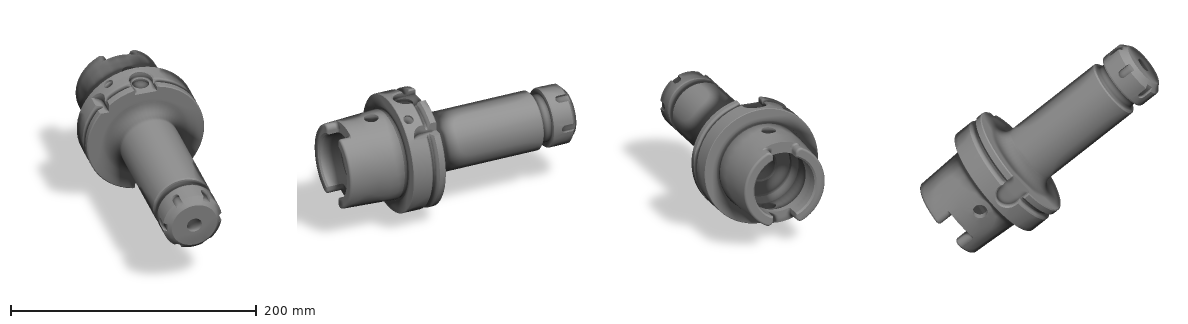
import cadquery as cq
import math

TOTAL_LENGTH = 210.0
FLANGE_START = 50.0
FLANGE_END = 79.0
SHAFT_END = 178.7
NUT_START = 187.5

TAPER_RADIUS = 35.5
TAPER_SLOPE = 0.05
TAPER_START = 2.0
TAPER_END = 47.5
TAPER_EDGE = 1.9
RELIEF_DEPTH = 0.6
FACE_RELIEF_RADIUS = 39.3
FACE_RELIEF_DEPTH = 0.5

BORE_RADIUS = 26.5
MOUTH_CHAMFER = 1.5
BORE_STRAIGHT_END = 20.0
CLAMP_RADIUS = 29.5
CLAMP_CONE_ANGLE = 60.0
CLAMP_END = 42.0
FLOOR_RADIUS = 25.0
BORE_FLOOR = 50.0

SEAT_CHAMFER_RADIUS = 27.0 / 2
SEAT_RADIUS = 24.5 / 2
SEAT_DEPTH = 12.5
LEDGE_RADIUS = 22.5 / 2
LEDGE_DEPTH = 19.0
AXIAL_HOLE_DIAMETER = 12.5

DRIVE_SLOT_WIDTH = 20.0
DRIVE_SLOT_LENGTHS = {1: 10.0, -1: 14.5}
DRIVE_SLOT_FLOOR_FILLET = 1.7
DRIVE_LAND_ROUND = 4.2

CROSS_HOLE_DIAMETER = 12.0
CROSS_HOLE_X = 34.9

FLANGE_RADIUS = 100.0 / 2
FLANGE_FRONT_CHAMFER = 0.5
FLANGE_BACK_CHAMFER = 0.8
GROOVE_START = 66.4
GROOVE_LIP = 1.0
GROOVE_END = 73.3
GROOVE_DEPTH = 4.0
GROOVE_FLANK_ANGLE = 30.0

CUTTER_RADIUS = 9.5
CUTTER_STOP_X = 64.7
KEYWAY_FLOOR = 43.9
KEYWAY_CHAMFER = 1.3
NOTCH_CORNER = 31.3
CHIP_HOLE_DIAMETER = 14.0
CHIP_HOLE_DEPTH = 2.5

SCREW_HOLE_DIAMETER = 8.5
SCREW_HOLE_X = 56.7
SCREW_HOLE_ANGLE = 30.0
SCREW_HOLE_DEPTH = 2.0
SCREW_TIP_DEPTH = 2.5

SHAFT_RADIUS = 50.0 / 2
SHAFT_FILLET = 10.0
SHAFT_CHAMFER = 1.0
NOSE_RADIUS = 40.1 / 2
NOSE_FILLET = 1.9
NOSE_END = 199.5

NUT_RADIUS = SHAFT_RADIUS
NUT_REAR_CHAMFER_LENGTH = 1.3
NUT_REAR_CHAMFER_DEPTH = 0.5
NUT_CONE_START = 204.5
NUT_CONE_END = 209.4
NUT_CONE_END_RADIUS = 40.0 / 2
NUT_FACE_RADIUS = 38.5 / 2
NUT_SLOT_COUNT = 6
NUT_SLOT_WIDTH = 6.7
NUT_SLOT_START = 194.5
NUT_SLOT_FLOOR = 22.0


def x_cylinder(start, end, radius):
    """Solid cylinder on the X axis between two stations."""
    return cq.Workplane("YZ").workplane(offset=start).circle(radius).extrude(end - start)


def revolve_about_x(outline):
    """Turn a closed (x, radius) wire into a solid of revolution about the X axis."""
    return outline.close().revolve(360, (0, 0, 0), (1, 0, 0))


def drive_slot_cutter(side, length):
    """Drive slot on the +Z or -Z side whose walls roll over into the taper surface."""
    half_width = DRIVE_SLOT_WIDTH / 2
    arc_center_y = half_width + DRIVE_LAND_ROUND
    arc_center_reach = TAPER_RADIUS - DRIVE_LAND_ROUND
    tilt = math.asin(arc_center_y / arc_center_reach)
    arc_center_z = arc_center_reach * math.cos(tilt)
    mid_angle = (tilt - math.pi / 2) / 2
    arc_mid = (
        arc_center_y + DRIVE_LAND_ROUND * math.sin(mid_angle),
        arc_center_z + DRIVE_LAND_ROUND * math.cos(mid_angle),
    )
    arc_end = (TAPER_RADIUS * math.sin(tilt), TAPER_RADIUS * math.cos(tilt))
    half_profile = (
        cq.Workplane("YZ")
        .lineTo(half_width, 0)
        .lineTo(half_width, arc_center_z)
        .threePointArc(arc_mid, arc_end)
        .lineTo(arc_end[0], FLANGE_RADIUS)
        .lineTo(0, FLANGE_RADIUS)
        .close()
    )
    half = half_profile.extrude(length)
    cutter = half.union(half.mirror("XZ")).clean()
    walls = cq.selectors.BoxSelector(
        (length - 0.2, -arc_end[0] - 0.2, 0.2),
        (length + 0.2, arc_end[0] + 0.2, FLANGE_RADIUS - 0.2),
    )
    cutter = cutter.edges(walls).fillet(DRIVE_SLOT_FLOOR_FILLET)
    return cutter if side > 0 else cutter.rotate((0, 0, 0), (1, 0, 0), 180)


def taper_shank():
    """Tapered shank with its two drive slots and their rounded lands."""
    end_radius = TAPER_RADIUS + TAPER_SLOPE * (TAPER_END - TAPER_START)
    relief_radius = end_radius - RELIEF_DEPTH
    shank_root = FLANGE_START + FACE_RELIEF_DEPTH
    shank = revolve_about_x(
        cq.Workplane("XY")
        .moveTo(0, 0)
        .lineTo(0, TAPER_RADIUS)
        .lineTo(TAPER_START, TAPER_RADIUS)
        .lineTo(TAPER_END, end_radius)
        .lineTo(TAPER_END + RELIEF_DEPTH, relief_radius)
        .lineTo(shank_root, relief_radius)
        .lineTo(shank_root, 0)
    )
    for side, length in DRIVE_SLOT_LENGTHS.items():
        shank = shank.cut(drive_slot_cutter(side, length))
    return shank.faces("<X").edges().fillet(TAPER_EDGE)


def shank_bore():
    """Clamping bore, coolant tube seat and axial hole, as one cutting tool."""
    clamp_start = BORE_STRAIGHT_END + (CLAMP_RADIUS - BORE_RADIUS) / math.tan(
        math.radians(CLAMP_CONE_ANGLE)
    )
    clamp_exit = CLAMP_END + CLAMP_RADIUS - FLOOR_RADIUS
    seat_chamfer = SEAT_CHAMFER_RADIUS - SEAT_RADIUS
    seat_end = BORE_FLOOR + SEAT_DEPTH
    ledge_end = BORE_FLOOR + LEDGE_DEPTH
    return revolve_about_x(
        cq.Workplane("XY")
        .moveTo(0, 0)
        .lineTo(0, BORE_RADIUS + MOUTH_CHAMFER)
        .lineTo(MOUTH_CHAMFER, BORE_RADIUS)
        .lineTo(BORE_STRAIGHT_END, BORE_RADIUS)
        .lineTo(clamp_start, CLAMP_RADIUS)
        .lineTo(CLAMP_END, CLAMP_RADIUS)
        .lineTo(clamp_exit, FLOOR_RADIUS)
        .lineTo(BORE_FLOOR, FLOOR_RADIUS)
        .lineTo(BORE_FLOOR, SEAT_CHAMFER_RADIUS)
        .lineTo(BORE_FLOOR + seat_chamfer, SEAT_RADIUS)
        .lineTo(seat_end, SEAT_RADIUS)
        .lineTo(seat_end, LEDGE_RADIUS)
        .lineTo(ledge_end, LEDGE_RADIUS)
        .lineTo(ledge_end, 0)
    )


def keyway_cutter():
    """Round-ended keyway on the +Z side, open towards +X."""
    length = FLANGE_END - CUTTER_STOP_X
    height = FLANGE_RADIUS - KEYWAY_FLOOR + 2
    base = cq.Workplane("XY").workplane(offset=KEYWAY_FLOOR).center(CUTTER_STOP_X, 0)
    channel = base.rect(2 * length, 2 * CUTTER_RADIUS).extrude(height)
    channel = channel.intersect(
        base.center(length / 2, 0).rect(length, 2 * CUTTER_RADIUS).extrude(height)
    )
    return channel.union(base.circle(CUTTER_RADIUS).extrude(height))


def notch_cutter():
    """Orientation notch: square corner facing -Y and +Z, closed end rounded about Z."""
    size = FLANGE_RADIUS - NOTCH_CORNER
    base = cq.Workplane("XY").workplane(offset=NOTCH_CORNER)
    channel = (
        base.center(CUTTER_STOP_X, -NOTCH_CORNER - size)
        .rect(FLANGE_END - CUTTER_STOP_X, size, centered=False)
        .extrude(size)
    )
    closed_end = (
        base.center(CUTTER_STOP_X, -NOTCH_CORNER - CUTTER_RADIUS).circle(CUTTER_RADIUS).extrude(size)
    )
    return channel.union(closed_end)


def gripper_groove():
    """V-shaped groove round the flange, as a cutting tool."""
    floor_radius = FLANGE_RADIUS - GROOVE_DEPTH
    flank_slope = math.tan(math.radians(GROOVE_FLANK_ANGLE))
    lip_end = GROOVE_START + GROOVE_LIP
    floor_start = lip_end + (GROOVE_DEPTH - GROOVE_LIP) * flank_slope
    floor_end = GROOVE_END - GROOVE_DEPTH * flank_slope
    outside = FLANGE_RADIUS + 2
    return revolve_about_x(
        cq.Workplane("XY")
        .moveTo(GROOVE_START, outside)
        .lineTo(GROOVE_START, FLANGE_RADIUS)
        .lineTo(lip_end, FLANGE_RADIUS - GROOVE_LIP)
        .lineTo(floor_start, floor_radius)
        .lineTo(floor_end, floor_radius)
        .lineTo(GROOVE_END, FLANGE_RADIUS)
        .lineTo(GROOVE_END, outside)
    )


def screw_hole():
    """Radial blind hole with a conical bottom, leaning from +Z towards -Y."""
    radius = SCREW_HOLE_DIAMETER / 2
    floor = FLANGE_RADIUS - SCREW_HOLE_DEPTH
    hole = (
        cq.Workplane("XZ")
        .moveTo(0, floor - SCREW_TIP_DEPTH)
        .lineTo(radius, floor)
        .lineTo(radius, FLANGE_RADIUS + 2)
        .lineTo(0, FLANGE_RADIUS + 2)
        .close()
        .revolve(360, (0, 0, 0), (0, 1, 0))
    )
    return hole.rotate((0, 0, 0), (1, 0, 0), SCREW_HOLE_ANGLE).translate((SCREW_HOLE_X, 0, 0))


def chamfered_blank():
    """Flange envelope with its front and back rims chamfered."""
    return revolve_about_x(
        cq.Workplane("XY")
        .moveTo(FLANGE_START, 0)
        .lineTo(FLANGE_START, FLANGE_RADIUS - FLANGE_FRONT_CHAMFER)
        .lineTo(FLANGE_START + FLANGE_FRONT_CHAMFER, FLANGE_RADIUS)
        .lineTo(FLANGE_END - FLANGE_BACK_CHAMFER, FLANGE_RADIUS)
        .lineTo(FLANGE_END, FLANGE_RADIUS - FLANGE_BACK_CHAMFER)
        .lineTo(FLANGE_END, 0)
    )


def face_relief():
    """Shallow ring cut into the flange face around the root of the shank."""
    return x_cylinder(FLANGE_START, FLANGE_START + FACE_RELIEF_DEPTH, FACE_RELIEF_RADIUS)


def flange():
    """Flange disc with keyways, groove, notch, chip hole and screw hole."""
    disc = x_cylinder(FLANGE_START, FLANGE_END, FLANGE_RADIUS)
    for angle in (0, 180):
        disc = disc.cut(keyway_cutter().rotate((0, 0, 0), (1, 0, 0), angle))
    for side in (1, -1):
        rim = cq.selectors.BoxSelector(
            (FLANGE_START + 1.0, -CUTTER_RADIUS - 0.2, side * (KEYWAY_FLOOR + 2)),
            (FLANGE_END - 1.0, CUTTER_RADIUS + 0.2, side * (FLANGE_RADIUS + 2)),
        )
        disc = disc.edges(rim).chamfer(KEYWAY_CHAMFER)
    chip_hole = (
        cq.Workplane("XY")
        .workplane(offset=KEYWAY_FLOOR - CHIP_HOLE_DEPTH)
        .center(CUTTER_STOP_X, 0)
        .circle(CHIP_HOLE_DIAMETER / 2)
        .extrude(FLANGE_RADIUS)
    )
    disc = disc.intersect(chamfered_blank()).cut(face_relief())
    return disc.cut(gripper_groove()).cut(notch_cutter()).cut(chip_hole).cut(screw_hole())


def shaft_and_nose():
    """Plain shaft blended into the flange, and the nose that carries the nut."""
    fillet_end = FLANGE_END + SHAFT_FILLET
    blend = SHAFT_FILLET * (1 - math.sqrt(0.5))
    nose_blend = NOSE_FILLET * (1 - math.sqrt(0.5))
    return revolve_about_x(
        cq.Workplane("XY")
        .moveTo(FLANGE_END, 0)
        .lineTo(FLANGE_END, SHAFT_RADIUS + SHAFT_FILLET)
        .threePointArc((FLANGE_END + blend, SHAFT_RADIUS + blend), (fillet_end, SHAFT_RADIUS))
        .lineTo(SHAFT_END - SHAFT_CHAMFER, SHAFT_RADIUS)
        .lineTo(SHAFT_END, SHAFT_RADIUS - SHAFT_CHAMFER)
        .lineTo(SHAFT_END, NOSE_RADIUS + NOSE_FILLET)
        .threePointArc(
            (SHAFT_END + nose_blend, NOSE_RADIUS + nose_blend),
            (SHAFT_END + NOSE_FILLET, NOSE_RADIUS),
        )
        .lineTo(NOSE_END, NOSE_RADIUS)
        .lineTo(NOSE_END, 0)
    )


def axial_hole():
    """Coolant passage through both bodies."""
    return x_cylinder(0, TOTAL_LENGTH, AXIAL_HOLE_DIAMETER / 2)


def make_holder():
    """Tool holder: shank, flange, shaft and nose in one piece."""
    cross_hole = (
        cq.Workplane("XY")
        .center(CROSS_HOLE_X, 0)
        .circle(CROSS_HOLE_DIAMETER / 2)
        .extrude(FLANGE_RADIUS, both=True)
    )
    return (
        taper_shank()
        .union(flange())
        .union(shaft_and_nose())
        .cut(shank_bore())
        .cut(axial_hole())
        .cut(cross_hole)
    )


def nut_slot_cutter():
    """Spanner slot on the -Y side, flat-floored with a round closed end."""
    radius = NUT_SLOT_WIDTH / 2
    base = cq.Workplane("XZ").workplane(offset=NUT_SLOT_FLOOR).center(NUT_SLOT_START + radius, 0)
    channel = (
        base.center(0, -radius)
        .rect(TOTAL_LENGTH - NUT_SLOT_START, NUT_SLOT_WIDTH, centered=False)
        .extrude(NUT_RADIUS)
    )
    return channel.union(base.circle(radius).extrude(NUT_RADIUS))


def make_nut():
    """Clamping nut with a socket for the nose and spanner slots round its rim."""
    nut = revolve_about_x(
        cq.Workplane("XY")
        .moveTo(NUT_START, 0)
        .lineTo(NUT_START, NUT_RADIUS - NUT_REAR_CHAMFER_DEPTH)
        .lineTo(NUT_START + NUT_REAR_CHAMFER_LENGTH, NUT_RADIUS)
        .lineTo(NUT_CONE_START, NUT_RADIUS)
        .lineTo(NUT_CONE_END, NUT_CONE_END_RADIUS)
        .lineTo(TOTAL_LENGTH, NUT_FACE_RADIUS)
        .lineTo(TOTAL_LENGTH, 0)
    )
    for index in range(NUT_SLOT_COUNT):
        angle = index * 360 / NUT_SLOT_COUNT
        nut = nut.cut(nut_slot_cutter().rotate((0, 0, 0), (1, 0, 0), angle))
    nose_socket = x_cylinder(NUT_START, NOSE_END, NOSE_RADIUS)
    return nut.cut(nose_socket).cut(axial_hole())


holder = make_holder()
nut = make_nut()
result = cq.Compound.makeCompound([holder.val(), nut.val()])